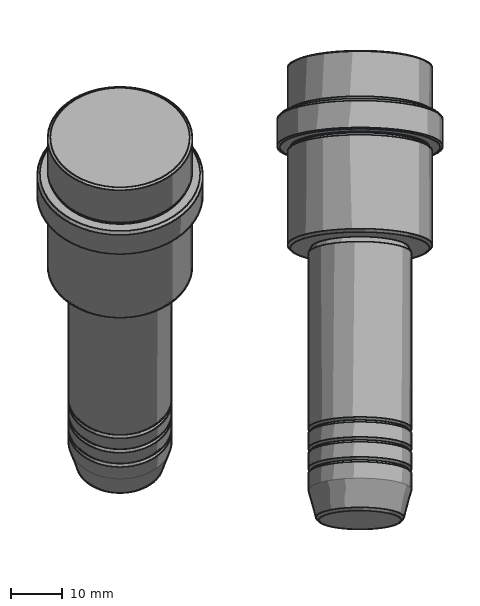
import cadquery as cq
import math

total_length = 90.0
head_length = 10.0
flange_thickness = 6.0
stem_length = 54.0
nose_length = 6.0
flange_top = total_length - head_length
flange_bottom = flange_top - flange_thickness

flange_radius = 32.0 / 2
body_radius = 28.0 / 2
stem_radius = 20.0 / 2

edge = 0.5
head_edge = 0.3
flange_lower_edge = 0.2
head_relief_depth = 0.4
head_relief_flat = 0.3
head_relief_height = 0.8
body_relief_flat = 0.3
stem_relief_height = 1.1

nose_angle = 15.0
nose_tip_radius = stem_radius - (nose_length - edge) * math.tan(math.radians(nose_angle))

groove_count = 3
groove_pitch = 4.0
groove_width = 1.0
groove_depth = 0.45
lowest_groove_height = 9.7

body_top = flange_bottom - body_relief_flat
relief_radius = body_radius - head_relief_depth


def turned_blank():
    """Revolve the half profile of nose, stem, body, flange and head."""
    profile = [
        (0, 0),
        (nose_tip_radius - edge, 0),
        (nose_tip_radius, edge),
        (stem_radius, nose_length),
        (stem_radius, stem_length - stem_relief_height),
        (stem_radius - edge, stem_length),
        (body_radius - edge, stem_length),
        (body_radius, stem_length + edge),
        (body_radius, body_top - edge),
        (body_radius - edge, body_top),
        (body_radius - edge, flange_bottom),
        (flange_radius - edge, flange_bottom),
        (flange_radius, flange_bottom + flange_lower_edge),
        (flange_radius, flange_top - edge),
        (flange_radius - edge, flange_top),
        (relief_radius, flange_top),
        (relief_radius, flange_top + head_relief_flat),
        (body_radius, flange_top + head_relief_height),
        (body_radius, total_length - head_edge),
        (body_radius - edge, total_length),
        (0, total_length),
    ]
    return cq.Workplane("XZ").polyline(profile).close().revolve(360, (0, 0), (0, 1))


def stem_groove(height):
    """Ring with a triangular section that cuts a V groove centred at a height."""
    half_width = groove_width / 2
    section = [
        (stem_radius, height - half_width),
        (stem_radius - groove_depth, height),
        (stem_radius, height + half_width),
    ]
    return cq.Workplane("XZ").polyline(section).close().revolve(360, (0, 0), (0, 1))


result = turned_blank()
for index in range(groove_count):
    result = result.cut(stem_groove(lowest_groove_height + index * groove_pitch))